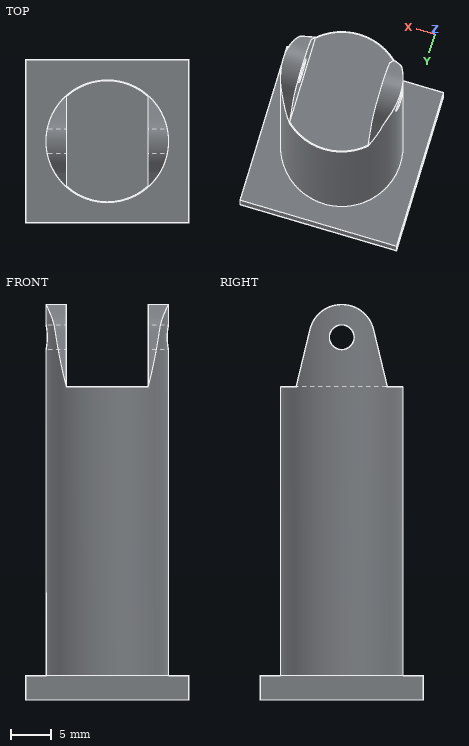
import cadquery as cq
import math

total_height = 48.4
base_side = 20.0
base_thickness = 3.0
post_radius = 7.5
ear_gap = 10.0
ear_height = 10.0
ear_tip_radius = 4.0
pin_hole_diameter = 3.0
rim_chamfer = 0.1

shoulder_z = total_height - ear_height
pin_z = total_height - ear_tip_radius
ear_foot_half_width = math.sqrt(post_radius**2 - (ear_gap / 2) ** 2)


def make_base():
    return cq.Workplane("XY").box(base_side, base_side, base_thickness, centered=(True, True, False))


def make_post():
    """Round column up to the shoulder, with a fine chamfer on its rim."""
    post = cq.Workplane("XY").circle(post_radius).extrude(shoulder_z)
    return post.faces(">Z").edges().chamfer(rim_chamfer)


def make_ears():
    """Two ears whose flanks run from the shoulder tangent to a round tip."""
    pin_rise = pin_z - shoulder_z
    foot_distance = math.hypot(ear_foot_half_width, pin_rise)
    tangent_angle = math.acos(ear_tip_radius / foot_distance) - math.atan2(pin_rise, ear_foot_half_width)
    tangent_y = ear_tip_radius * math.cos(tangent_angle)
    tangent_z = pin_z + ear_tip_radius * math.sin(tangent_angle)
    root_z = shoulder_z - rim_chamfer

    profile = (
        cq.Workplane("YZ")
        .moveTo(-ear_foot_half_width, root_z)
        .lineTo(ear_foot_half_width, root_z)
        .lineTo(ear_foot_half_width, shoulder_z)
        .lineTo(tangent_y, tangent_z)
        .threePointArc((0, total_height), (-tangent_y, tangent_z))
        .lineTo(-ear_foot_half_width, shoulder_z)
        .close()
        .extrude(post_radius, both=True)
    )
    column = cq.Workplane("XY").circle(post_radius).extrude(total_height)
    gap = cq.Workplane("XY").box(ear_gap, base_side, total_height, centered=(True, True, False))
    pin_hole = (
        cq.Workplane("YZ")
        .center(0, pin_z)
        .circle(pin_hole_diameter / 2)
        .extrude(post_radius, both=True)
    )
    return profile.intersect(column).cut(gap).cut(pin_hole)


result = make_base().union(make_post()).union(make_ears())